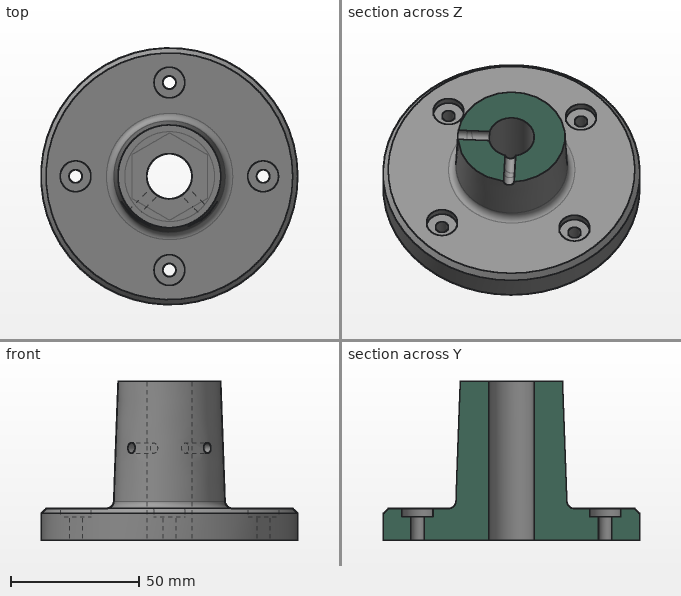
import cadquery as cq

flange_diameter = 100.0
flange_height = 12.5
flange_chamfer = 2.0

total_height = 62.0
hub_top_radius = 20.0
hub_base_radius = 21.7
fillet_height = 2.7
fillet_foot_radius = 24.6

socket_diameter = 35.0
hex_corner_diameter = 34.0
bore_diameter = 17.5

screw_count = 4
screw_circle_radius = 36.5
screw_diameter = 5.0
counterbore_diameter = 12.0
counterbore_depth = 3.2

set_screw_diameter = 4.0
set_screw_height = 36.0
set_screw_angles = (225.0, 315.0)


def make_body():
    """Revolve the flange, its chamfer, the base fillet and the tapered hub."""
    flange_radius = flange_diameter / 2
    fillet_top = flange_height + fillet_height
    return (
        cq.Workplane("XZ")
        .moveTo(0, 0)
        .lineTo(flange_radius, 0)
        .lineTo(flange_radius, flange_height - flange_chamfer)
        .lineTo(flange_radius - flange_chamfer, flange_height)
        .lineTo(fillet_foot_radius, flange_height)
        .tangentArcPoint((hub_base_radius, fillet_top), relative=False)
        .lineTo(hub_top_radius, total_height)
        .lineTo(0, total_height)
        .close()
        .revolve(360, (0, 0, 0), (0, 1, 0))
    )


def make_screw_holes():
    """Counterbored holes through the flange, on the X and Y axes."""
    places = cq.Workplane("XY").polarArray(screw_circle_radius, 0, 360, screw_count)
    through_holes = places.circle(screw_diameter / 2).extrude(flange_height)
    counterbores = (
        cq.Workplane("XY")
        .workplane(offset=flange_height - counterbore_depth)
        .polarArray(screw_circle_radius, 0, 360, screw_count)
        .circle(counterbore_diameter / 2)
        .extrude(counterbore_depth)
    )
    return through_holes.union(counterbores)


def make_set_screw_hole(angle):
    """A radial hole from outside the hub into the central bore."""
    return (
        cq.Workplane("YZ")
        .center(0, set_screw_height)
        .circle(set_screw_diameter / 2)
        .extrude(flange_diameter / 2)
        .rotate((0, 0, 0), (0, 0, 1), angle)
    )


socket = cq.Workplane("XY").circle(socket_diameter / 2).extrude(total_height)
shell = make_body().cut(socket).cut(make_screw_holes())

hexagon = (
    cq.Workplane("XY")
    .polygon(6, hex_corner_diameter)
    .extrude(total_height)
    .rotate((0, 0, 0), (0, 0, 1), 30)
)
filler = socket.cut(hexagon)
bore = cq.Workplane("XY").circle(bore_diameter / 2).extrude(total_height)
core = hexagon.cut(bore)

for hole_angle in set_screw_angles:
    set_screw_hole = make_set_screw_hole(hole_angle)
    shell = shell.cut(set_screw_hole)
    filler = filler.cut(set_screw_hole)
    core = core.cut(set_screw_hole)

result = shell.union(filler, clean=False).union(core, clean=False)